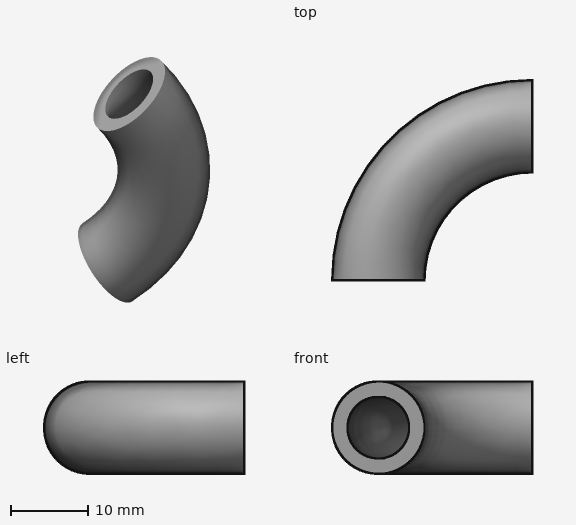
import cadquery as cq

overall_length = 26.0
outer_diameter = 12.0
bore_diameter = 8.0
bend_angle = 90.0

bend_radius = overall_length - outer_diameter / 2

pipe_section = (
    cq.Workplane("XZ")
    .center(-bend_radius, 0)
    .circle(outer_diameter / 2)
    .circle(bore_diameter / 2)
)

bend_axis_start = (bend_radius, 0)
bend_axis_end = (bend_radius, -1)
result = pipe_section.revolve(bend_angle, bend_axis_start, bend_axis_end)